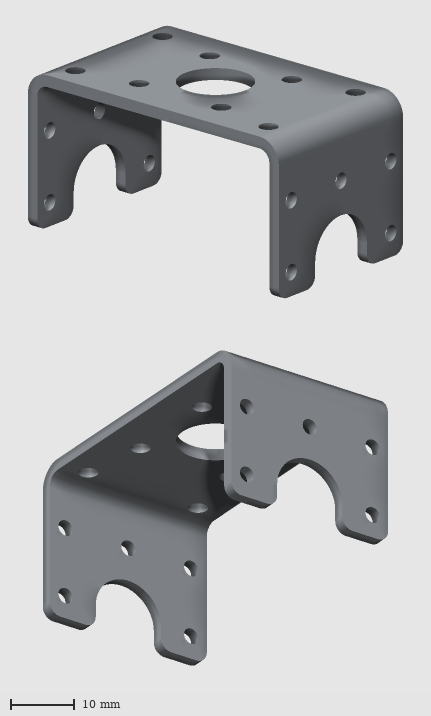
import cadquery as cq

length = 52.0
width = 30.0
height = 26.5
thickness = 2.0
bend_radius_outer = 4.0
bend_radius_inner = bend_radius_outer - thickness

bore_diameter = 12.5
top_hole_diameter = 3.2
inner_hole_pitch = 17.0
outer_hole_pitch_x = 40.0
outer_hole_pitch_y = 21.0

flange_hole_diameter = 2.7
flange_hole_pitch = 24.0
upper_hole_z = height - 10.5
lower_hole_z = 4.0
notch_width = bore_diameter
notch_center_z = lower_hole_z
corner_radius = 2.0


def block(x_size, z_size):
    """Block across the full width that stands on Z = 0."""
    return cq.Workplane("XY").box(x_size, width, z_size, centered=(True, True, False))


def bent_sheet():
    outside = block(length, height).edges("|Y and >Z").fillet(bend_radius_outer)
    inside = block(length - 2 * thickness, height - thickness)
    return outside.cut(inside.edges("|Y and >Z").fillet(bend_radius_inner))


def top_plate_holes():
    """Centre bore with a square inner hole pattern and a rectangular outer one."""
    plane = cq.Workplane("XY").workplane(offset=height - thickness)
    bore = plane.circle(bore_diameter / 2).extrude(thickness)
    inner_holes = (
        plane.rect(inner_hole_pitch, inner_hole_pitch, forConstruction=True)
        .vertices()
        .circle(top_hole_diameter / 2)
        .extrude(thickness)
    )
    outer_holes = (
        plane.rect(outer_hole_pitch_x, outer_hole_pitch_y, forConstruction=True)
        .vertices()
        .circle(top_hole_diameter / 2)
        .extrude(thickness)
    )
    return bore.union(inner_holes).union(outer_holes)


def flange_holes():
    """Three upper and two lower holes passing through both flanges."""
    side = flange_hole_pitch / 2
    centers = [(y, upper_hole_z) for y in (-side, 0, side)]
    centers += [(y, lower_hole_z) for y in (-side, side)]
    return (
        cq.Workplane("YZ")
        .pushPoints(centers)
        .circle(flange_hole_diameter / 2)
        .extrude(length / 2, both=True)
    )


def flange_notch():
    """Round-topped notch, open at the bottom of both flanges."""
    radius = notch_width / 2
    return (
        cq.Workplane("YZ")
        .moveTo(-radius, 0)
        .lineTo(-radius, notch_center_z)
        .threePointArc((0, notch_center_z + radius), (radius, notch_center_z))
        .lineTo(radius, 0)
        .close()
        .extrude(length / 2, both=True)
    )


bracket = bent_sheet().cut(flange_notch())

bracket = bracket.faces("<Z").edges("|X").fillet(corner_radius)

result = bracket.cut(top_plate_holes()).cut(flange_holes())